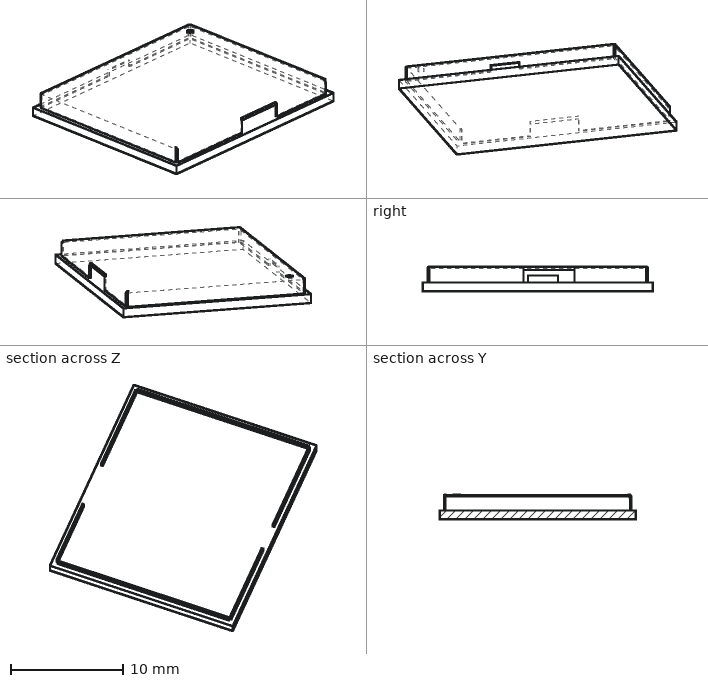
import cadquery as cq

board_length_x = 17.5
board_length_y = 20.5
board_thickness = 0.82

total_height = 2.22
can_margin_x = 0.375
can_margin_y = 0.44
sheet = 0.17
bend_radius = sheet
wide_bend_radius = 0.3

can_length_x = board_length_x - 2 * can_margin_x
can_length_y = board_length_y - 2 * can_margin_y
can_height = total_height - board_thickness
cavity_length_x = can_length_x - 2 * sheet
cavity_length_y = can_length_y - 2 * sheet
cavity_height = can_height - sheet

window_width = 2.65
window_height = 0.6
window_center_y = 0.47

opening_width = 4.55
opening_center_y = 1.0

hole_diameter = 0.6
hole_from_wall = 1.15


def make_board():
    return cq.Workplane("XY").box(
        board_length_x, board_length_y, board_thickness, centered=(True, True, False)
    )


def block_on_board(length_x, length_y, height, center_x=0, center_y=0):
    """Upright block standing on the top face of the board."""
    return cq.Workplane("XY", origin=(center_x, center_y, board_thickness)).box(
        length_x, length_y, height, centered=(True, True, False)
    )


def make_lid_and_x_walls():
    """Lid folded down into the two X walls, with the wider bend on the +X side."""
    outside = (
        block_on_board(can_length_x, cavity_length_y, can_height)
        .edges(">Z and >X").fillet(wide_bend_radius)
        .edges(">Z and <X").fillet(bend_radius)
    )
    cavity = (
        block_on_board(cavity_length_x, cavity_length_y, cavity_height)
        .edges(">Z and >X").fillet(wide_bend_radius - sheet)
    )
    return outside.cut(cavity)


def make_y_walls():
    """Two Y walls, only as long as the cavity so that the outer corners stay open."""
    outside = (
        block_on_board(cavity_length_x, can_length_y, can_height)
        .edges("|X and >Z").fillet(bend_radius)
    )
    return outside.cut(block_on_board(cavity_length_x, cavity_length_y, can_height))


def make_can():
    shell = make_lid_and_x_walls().union(make_y_walls())

    wall_x = can_length_x / 2
    window = block_on_board(2 * sheet, window_width, window_height, -wall_x, window_center_y)
    opening = block_on_board(2 * sheet, opening_width, can_height, wall_x, opening_center_y)

    hole = (
        cq.Workplane("XY", origin=(0, 0, board_thickness))
        .center(hole_from_wall - can_length_x / 2, can_length_y / 2 - hole_from_wall)
        .circle(hole_diameter / 2)
        .extrude(can_height)
    )
    return shell.cut(window).cut(opening).cut(hole)


board = make_board()
can = make_can()

result = cq.Compound.makeCompound([board.val(), can.val()])